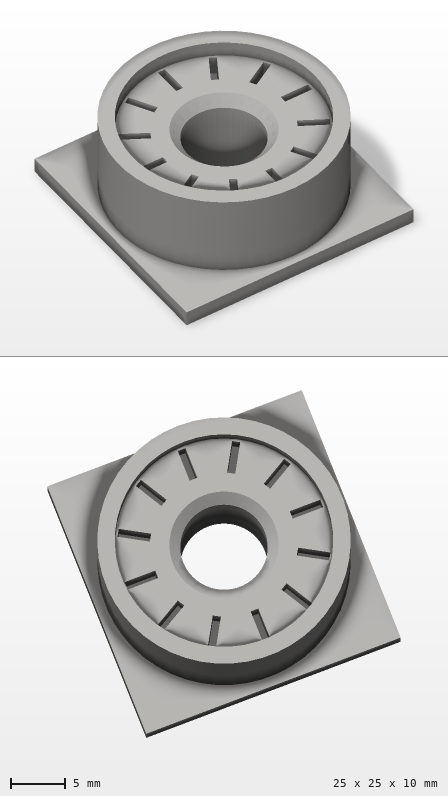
import cadquery as cq

plate_side = 25.0
plate_thickness = 1.6

total_height = 10.0
housing_diameter = 23.2

recess_diameter = 20.0
recess_depth = 1.6
floor_height = total_height - recess_depth

bore_diameter = 8.0
bore_chamfer = 1.0

slot_count = 12
slot_length = 3.0
slot_width = 0.75
slot_depth = 2.0
slot_rim_gap = 0.25
slot_outer_reach = recess_diameter / 2 - slot_rim_gap
slot_inner_reach = slot_outer_reach - slot_length


def make_body():
    """Plate and housing, with the recess cut into the housing."""
    plate = cq.Workplane("XY").rect(plate_side, plate_side).extrude(plate_thickness)
    housing = cq.Workplane("XY").circle(housing_diameter / 2).extrude(total_height)
    recess = (
        cq.Workplane("XY")
        .workplane(offset=floor_height)
        .circle(recess_diameter / 2)
        .extrude(recess_depth)
    )
    return plate.union(housing).cut(recess)


def make_bore():
    """Revolved cutter for the bore and its conical mouth."""
    bore_radius = bore_diameter / 2
    return (
        cq.Workplane("XZ")
        .moveTo(0, 0)
        .lineTo(bore_radius, 0)
        .lineTo(bore_radius, floor_height - bore_chamfer)
        .lineTo(bore_radius + bore_chamfer, floor_height)
        .lineTo(0, floor_height)
        .close()
        .revolve(360, (0, 0, 0), (0, 1, 0))
    )


def make_slot(angle):
    """Slot cutter with one long side on the radial line at the given angle."""
    return (
        cq.Workplane("XY")
        .box(slot_length, slot_width, slot_depth, centered=False)
        .translate((slot_inner_reach, 0, floor_height - slot_depth))
        .rotate((0, 0, 0), (0, 0, 1), angle)
    )


result = make_body().cut(make_bore())
for slot_index in range(slot_count):
    result = result.cut(make_slot(slot_index * 360 / slot_count))